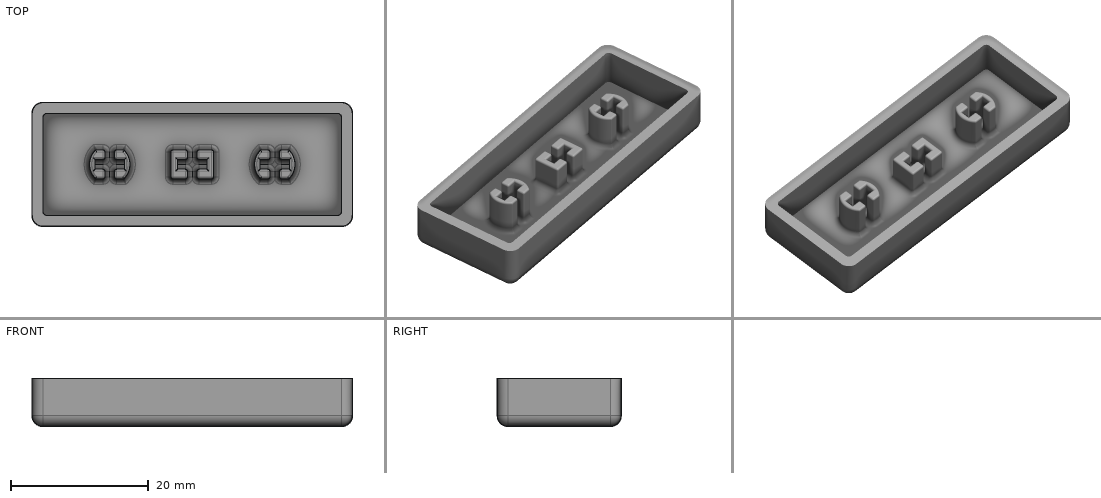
import cadquery as cq
import math

LENGTH = 46.62
WIDTH = 18.05
HEIGHT = 7.0
WALL = 1.6
FLOOR = 1.5
OUTER_CORNER_RADIUS = 1.6
BOTTOM_EDGE_RADIUS = OUTER_CORNER_RADIUS
CAVITY_CORNER_RADIUS = 0.6

STEM_SPACING = 12.0
STEM_WIDTH = 4.22
BLOCK_STEM_LENGTH = 6.22
BLOCK_STEM_HEIGHT = 4.5
ROUND_STEM_DIAMETER = 5.88
ROUND_STEM_HEIGHT = HEIGHT - FLOOR

SOCKET_LENGTH = 4.25
SLOT_WIDTH = 1.4
HALF_SLOT = SLOT_WIDTH / 2

VERTICAL_EDGE_RADIUS = 0.3
TOP_EDGE_RADIUS = 0.29
ROOT_RADIUS = 0.78

PAD_SIZE = 16.0
PAD_THICKNESS = 0.5
LEG_SPLIT = HALF_SLOT + VERTICAL_EDGE_RADIUS
TOLERANCE = 0.01


def solid_box(x_range, y_range, z_range):
    size = [end - start for start, end in (x_range, y_range, z_range)]
    return cq.Workplane("XY", origin=(x_range[0], y_range[0], z_range[0])).box(*size, centered=False)


def make_tray():
    tray = cq.Workplane("XY").box(LENGTH, WIDTH, HEIGHT, centered=(True, True, False))
    tray = tray.edges("|Z").fillet(OUTER_CORNER_RADIUS)
    tray = tray.faces("<Z").edges().fillet(BOTTOM_EDGE_RADIUS)
    cavity = (
        cq.Workplane("XY", origin=(0, 0, FLOOR))
        .box(LENGTH - 2 * WALL, WIDTH - 2 * WALL, HEIGHT, centered=(True, True, False))
        .edges("|Z")
        .fillet(CAVITY_CORNER_RADIUS)
    )
    return tray.cut(cavity)


def block_blank():
    blank = cq.Workplane("XY").rect(BLOCK_STEM_LENGTH, STEM_WIDTH).extrude(BLOCK_STEM_HEIGHT)
    return blank.edges("|Z").fillet(VERTICAL_EDGE_RADIUS)


def round_blank():
    blank = cq.Workplane("XY").circle(ROUND_STEM_DIAMETER / 2).extrude(ROUND_STEM_HEIGHT)
    flats = cq.Workplane("XY").rect(ROUND_STEM_DIAMETER, STEM_WIDTH).extrude(ROUND_STEM_HEIGHT)
    return blank.intersect(flats)


def round_vertical_edge(body, x, y, height):
    low = (x - TOLERANCE, y - TOLERANCE, 0)
    high = (x + TOLERANCE, y + TOLERANCE, height)
    return body.edges("|Z").edges(cq.selectors.BoxSelector(low, high)).fillet(VERTICAL_EDGE_RADIUS)


def add_root_fillet(body):
    pad = cq.Workplane("XY").rect(PAD_SIZE, PAD_SIZE).extrude(-PAD_THICKNESS)
    reach = PAD_SIZE / 2 - TOLERANCE
    root_edges = cq.selectors.BoxSelector((-reach, -reach, -TOLERANCE), (reach, reach, TOLERANCE))
    return body.union(pad).edges(root_edges).fillet(ROOT_RADIUS)


def make_quarter_stem(blank, height):
    reach = PAD_SIZE / 2
    z_range = (-PAD_THICKNESS, height)

    outside = blank.intersect(solid_box((HALF_SLOT, reach), (-reach, reach), (0, height)))
    outside = add_root_fillet(outside)
    outside = outside.intersect(solid_box((LEG_SPLIT, reach), (0, reach), z_range))
    outside = outside.cut(solid_box((0, SOCKET_LENGTH / 2), (0, HALF_SLOT), z_range))

    leg = blank.intersect(solid_box((HALF_SLOT, reach), (HALF_SLOT, reach), (0, height)))
    leg = round_vertical_edge(leg, HALF_SLOT, HALF_SLOT, height)
    leg = round_vertical_edge(leg, HALF_SLOT, STEM_WIDTH / 2, height)
    leg = add_root_fillet(leg)
    closed_slot_side = solid_box((0, SOCKET_LENGTH / 2), (0, LEG_SPLIT), z_range)
    open_slot_side = solid_box((0, LEG_SPLIT), (0, reach), z_range)
    leg = leg.intersect(closed_slot_side.union(open_slot_side))

    return outside.union(leg)


def make_stem(blank, height):
    quarter = make_quarter_stem(blank, height)
    half = quarter.union(quarter.mirror("XZ"))
    return half.union(half.mirror("YZ")).clean()


def round_top(stem):
    return stem.faces(">Z").edges().fillet(TOP_EDGE_RADIUS)


def make_block_stem():
    return round_top(make_stem(block_blank(), BLOCK_STEM_HEIGHT))


def make_round_stem():
    stem = make_stem(round_blank(), ROUND_STEM_HEIGHT)
    corner_y = STEM_WIDTH / 2
    corner_x = math.sqrt((ROUND_STEM_DIAMETER / 2) ** 2 - corner_y**2)
    for x in (-corner_x, corner_x):
        for y in (-corner_y, corner_y):
            stem = round_vertical_edge(stem, x, y, ROUND_STEM_HEIGHT)
    return round_top(stem)


result = make_tray().union(make_block_stem().translate((0, 0, FLOOR)))
round_stem = make_round_stem()
for stem_x in (-STEM_SPACING, STEM_SPACING):
    result = result.union(round_stem.translate((stem_x, 0, FLOOR)))